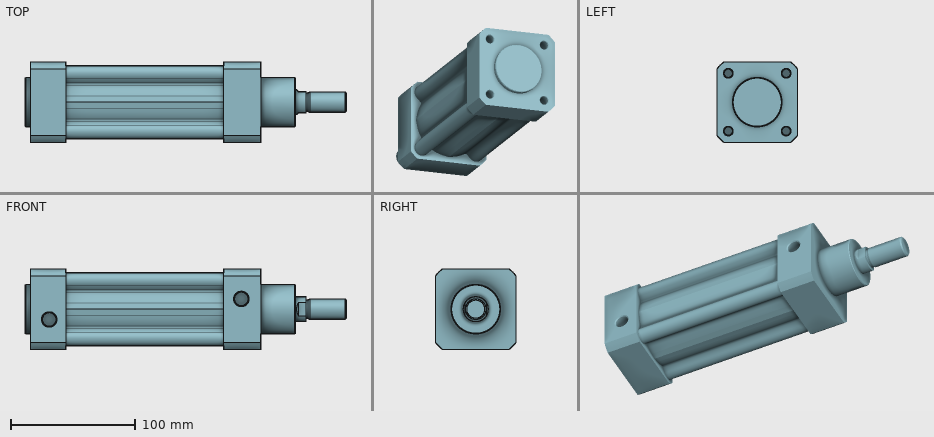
import cadquery as cq
import math


REAR_CAP_START = 4.1
TUBE_START = 33.0
TUBE_END = 160.0
FRONT_CAP_END = 190.0
NOSE_END = 217.8
FLAT_START = 220.5
COLLAR_END = 226.5
NECK_END = 228.0
THREAD_START = 229.5
ROD_END = 259.0

CAP_SIZE = 65.0
CAP_CORNER_RADIUS = 42.2
SPIGOT_RADIUS = 20.0
SPIGOT_CHAMFER = 0.5
BOLT_OFFSET = 23.3
BOLT_HOLE_RADIUS = 3.4
BOLT_HOLE_CHAMFER = 0.5
BOLT_HOLE_DEPTH = 15.5

PORT_RADIUS = 5.5
PORT_CHAMFER = 0.8
PORT_DEPTH = 13.0
PORT_OFFSET = 8.3
REAR_PORT_X = 19.5
FRONT_PORT_X = 174.3

TUBE_LENGTH = TUBE_END - TUBE_START
BARREL_RADIUS = 27.7
RIB_RADIUS = 6.2
RIB_FILLET = 1.8
RIDGE_HALF_WIDTH = 5.2

ROD_RADIUS = 10.0
ROD_FLAT_DISTANCE = 8.5
NECK_RADIUS = 7.5
THREAD_RADIUS = 8.3
THREAD_CHAMFER = 1.0

SIDE_ANGLES = (0, 90, 180, 270)
DIAGONAL_ANGLES = (45, 135)
CORNER_ANGLES = (45, 135, 225, 315)
BOLT_POINTS = [(y, z) for y in (-BOLT_OFFSET, BOLT_OFFSET) for z in (-BOLT_OFFSET, BOLT_OFFSET)]


def plane_at(x):
    """Sketch plane at station x, normal +X, with local axes Y and Z."""
    return cq.Workplane("YZ", origin=(x, 0, 0))


def cylinder(start, end, radius):
    return plane_at(start).circle(radius).extrude(end - start)


def cap_block(start, end):
    """Square block whose corners are turned round about the cylinder axis."""
    square = plane_at(start).rect(CAP_SIZE, CAP_SIZE).extrude(end - start)
    return square.intersect(cylinder(start, end, CAP_CORNER_RADIUS))


def port_cutter(x, z):
    """Cutter for a chamfered blind port in the -Y face of a cap."""
    face = cq.Workplane("XZ", origin=(x, -CAP_SIZE / 2, z))
    bore = face.circle(PORT_RADIUS).extrude(-PORT_DEPTH)
    rim = face.circle(PORT_RADIUS + PORT_CHAMFER).extrude(-PORT_CHAMFER, taper=45)
    return bore.union(rim)


def make_rear_cap():
    spigot = cylinder(0, REAR_CAP_START, SPIGOT_RADIUS).faces("<X").chamfer(SPIGOT_CHAMFER)
    bolt_sketch = plane_at(REAR_CAP_START).pushPoints(BOLT_POINTS)
    bolt_holes = bolt_sketch.circle(BOLT_HOLE_RADIUS).extrude(BOLT_HOLE_DEPTH)
    rim_radius = BOLT_HOLE_RADIUS + BOLT_HOLE_CHAMFER
    bolt_rims = bolt_sketch.circle(rim_radius).extrude(BOLT_HOLE_CHAMFER, taper=45)
    cap = cap_block(REAR_CAP_START, TUBE_START).union(spigot)
    return cap.cut(bolt_holes).cut(bolt_rims).cut(port_cutter(REAR_PORT_X, -PORT_OFFSET))


def make_rib_pair(angle):
    """Two opposite ribs with round ends, as one slot shape across the axis."""
    tip_distance = math.hypot(BOLT_OFFSET, BOLT_OFFSET) + RIB_RADIUS
    return plane_at(TUBE_START).slot2D(2 * tip_distance, 2 * RIB_RADIUS, angle).extrude(TUBE_LENGTH)


def make_ridge(angle):
    """Low ridge on one side of the barrel, with flanks tangent to it."""
    foot = math.sqrt(BARREL_RADIUS**2 - RIDGE_HALF_WIDTH**2)
    apex = BARREL_RADIUS**2 / foot
    outline = [(0, 0), (foot, -RIDGE_HALF_WIDTH), (apex, 0), (foot, RIDGE_HALF_WIDTH)]
    ridge = plane_at(TUBE_START).polyline(outline).close().extrude(TUBE_LENGTH)
    return ridge.rotate((0, 0, 0), (1, 0, 0), angle)


def fillet_rib_roots(tube):
    """Round the concave edges where the rib flanks meet the barrel."""
    half_angle = math.asin(RIB_RADIUS / BARREL_RADIUS)
    middle = TUBE_START + TUBE_LENGTH / 2
    for corner in CORNER_ANGLES:
        for side in (-1, 1):
            angle = math.radians(corner) + side * half_angle
            root = (middle, BARREL_RADIUS * math.cos(angle), BARREL_RADIUS * math.sin(angle))
            tube = tube.edges(cq.selectors.NearestToPointSelector(root)).fillet(RIB_FILLET)
    return tube


def make_tube():
    tube = cylinder(TUBE_START, TUBE_END, BARREL_RADIUS)
    for angle in DIAGONAL_ANGLES:
        tube = tube.union(make_rib_pair(angle))
    for angle in SIDE_ANGLES:
        tube = tube.union(make_ridge(angle))
    return fillet_rib_roots(tube)


def make_front_cap():
    nose = cylinder(FRONT_CAP_END, NOSE_END, SPIGOT_RADIUS).faces(">X").chamfer(SPIGOT_CHAMFER)
    cap = cap_block(TUBE_END, FRONT_CAP_END).union(nose)
    rod_bore = cylinder(TUBE_END, NOSE_END, ROD_RADIUS)
    return cap.cut(rod_bore).cut(port_cutter(FRONT_PORT_X, PORT_OFFSET))


def make_rod():
    """Turned rod with a thread neck and two ramped wrench flats, on the -Y and +Y sides."""
    profile = [
        (TUBE_END, 0),
        (TUBE_END, ROD_RADIUS),
        (COLLAR_END, ROD_RADIUS),
        (COLLAR_END, NECK_RADIUS),
        (NECK_END, NECK_RADIUS),
        (THREAD_START, THREAD_RADIUS),
        (ROD_END - THREAD_CHAMFER, THREAD_RADIUS),
        (ROD_END, THREAD_RADIUS - THREAD_CHAMFER),
        (ROD_END, 0),
    ]
    rod = cq.Workplane("XY").polyline(profile).close().revolve(360, (0, 0, 0), (1, 0, 0))
    ramp = ROD_RADIUS - ROD_FLAT_DISTANCE
    flat_profile = [
        (FLAT_START, ROD_FLAT_DISTANCE),
        (FLAT_START - ramp, ROD_RADIUS),
        (COLLAR_END, ROD_RADIUS),
        (COLLAR_END, ROD_FLAT_DISTANCE),
    ]
    flat_cut = cq.Workplane("XY").polyline(flat_profile).close().extrude(ROD_RADIUS, both=True)
    return rod.cut(flat_cut).cut(flat_cut.mirror("XZ"))


rear_cap = make_rear_cap()
tube = make_tube()
front_cap = make_front_cap()
rod = make_rod()

result = cq.Compound.makeCompound([rear_cap.val(), tube.val(), front_cap.val(), rod.val()])